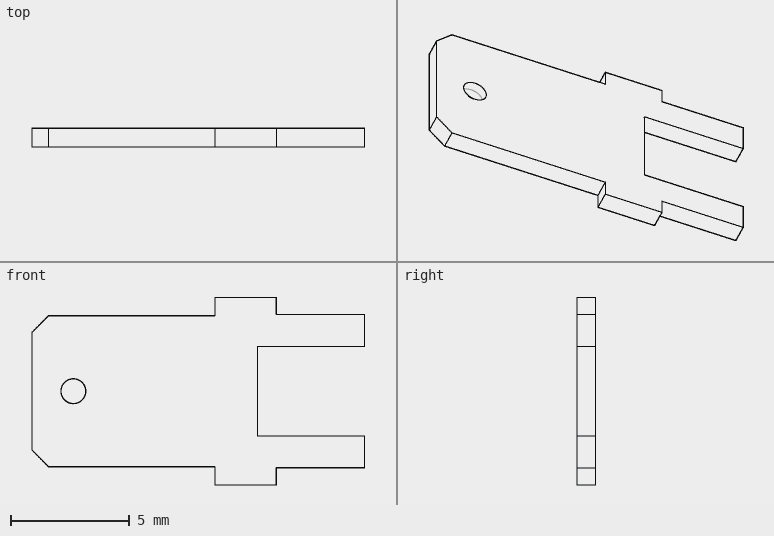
import cadquery as cq

length = 14.0
thickness = 0.8
blade_height = 6.35
shoulder_height = 7.9
shoulder_start = 7.7
shoulder_end = 10.29
prong_span = 6.45
notch_height = 3.75
notch_start = 9.49
tip_chamfer_length = 0.7
tip_chamfer_height = 0.71
hole_diameter = 1.04
hole_from_tip = 1.75

upper_outline = [
    (0, blade_height / 2 - tip_chamfer_height),
    (tip_chamfer_length, blade_height / 2),
    (shoulder_start, blade_height / 2),
    (shoulder_start, shoulder_height / 2),
    (shoulder_end, shoulder_height / 2),
    (shoulder_end, prong_span / 2),
    (length, prong_span / 2),
    (length, notch_height / 2),
    (notch_start, notch_height / 2),
]
lower_outline = [(x, -z) for x, z in reversed(upper_outline)]

plate = (
    cq.Workplane("XZ")
    .polyline(upper_outline + lower_outline)
    .close()
    .extrude(thickness / 2, both=True)
)

hole = (
    cq.Workplane("XZ")
    .center(hole_from_tip, 0)
    .circle(hole_diameter / 2)
    .extrude(thickness, both=True)
)

result = plate.cut(hole)